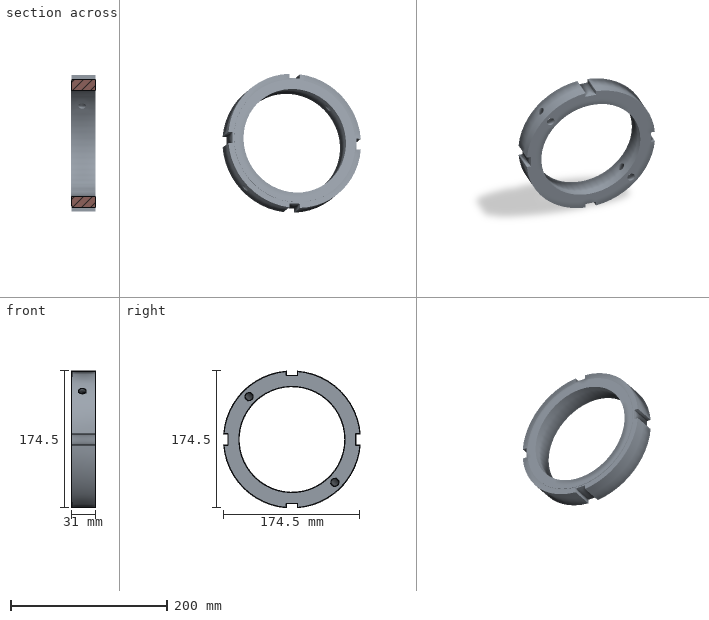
import cadquery as cq
import math

slot_corner_span = 174.5
slot_width = 14.1
slot_floor_radius = 81.8
outer_diameter = math.hypot(slot_corner_span, slot_width)
bore_diameter = 135.0
total_width = 31.0

face_diameter = 160.0
face_height = 0.5

hole_diameter = 9.6
hole_center_x = 14.1
hole_angles = (135, 315)

axial_hole_diameter = 10.1
axial_hole_radius = (outer_diameter + bore_diameter) / 4

slot_count = 4


def make_ring():
    body = (
        cq.Workplane("YZ")
        .workplane(offset=face_height)
        .circle(outer_diameter / 2)
        .extrude(total_width - face_height)
    )
    raised_face = cq.Workplane("YZ").circle(face_diameter / 2).extrude(total_width)
    bore = cq.Workplane("YZ").circle(bore_diameter / 2).extrude(total_width)
    return body.union(raised_face).cut(bore)


def make_slot(angle):
    """Wrench slot through the full width, turned about the ring axis from +Y."""
    slot_length = outer_diameter - slot_floor_radius
    return (
        cq.Workplane("XY")
        .box(total_width, slot_length, slot_width, centered=(False, False, True))
        .translate((0, slot_floor_radius, 0))
        .rotate((0, 0, 0), (1, 0, 0), angle)
    )


def make_radial_hole(angle):
    """Cylinder from the ring axis outward, turned about the ring axis from +Y."""
    direction = cq.Vector(0, math.cos(math.radians(angle)), math.sin(math.radians(angle)))
    start = cq.Vector(hole_center_x, 0, 0)
    return cq.Solid.makeCylinder(hole_diameter / 2, outer_diameter, start, direction)


def make_axial_hole(angle):
    """Cylinder along X that meets the radial hole at the same angle."""
    start = cq.Vector(
        hole_center_x,
        axial_hole_radius * math.cos(math.radians(angle)),
        axial_hole_radius * math.sin(math.radians(angle)),
    )
    depth = total_width - hole_center_x
    return cq.Solid.makeCylinder(axial_hole_diameter / 2, depth, start, cq.Vector(1, 0, 0))


result = make_ring()
for index in range(slot_count):
    result = result.cut(make_slot(index * 360 / slot_count))
for hole_angle in hole_angles:
    result = result.cut(make_radial_hole(hole_angle))
    result = result.cut(make_axial_hole(hole_angle))